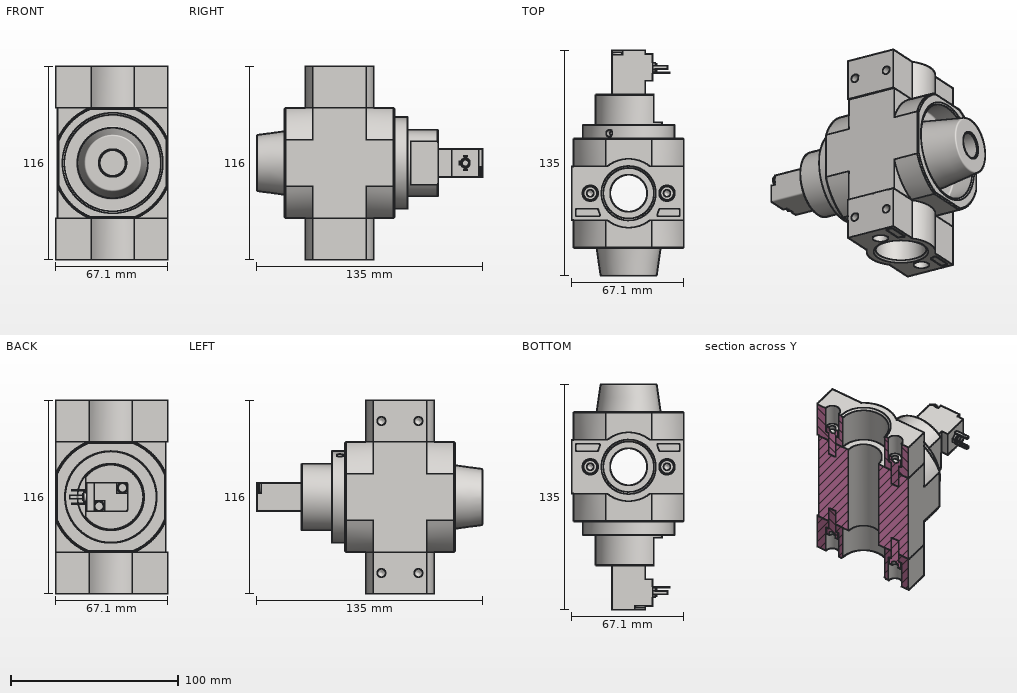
import cadquery as cq
import math

housing_side = 66.0
barrel_radius = 35.8
core_half_depth = 16.0
housing_chamfer = 0.8
passage_diameter = 22.0

front_bore_radius = 28.9
front_bore_floor_y = -18.9
front_bore_chamfer = 1.2
front_bore_chamfer_depth = 0.5
recess_fillet = 1.0
cone_front_y = -49.4
cone_front_radius = 16.9
cone_front_fillet = 1.0
cone_base_radius = 21.2
cone_hole_radius = 7.7
cone_hole_depth = 20.2
cone_hole_chamfer = 0.7

overall_length = 135.0
flange_width = 67.1
overall_height = 116.0
flange_boss_diameter = 41.2
port_diameter = 30.2
port_chamfer = 1.2

screw_x = 23.0
screw_head_diameter = 8.5
screw_head_height = 5.0
screw_head_chamfer = 0.3
screw_hole_diameter = 9.5
screw_hole_depth = 18.9
screw_shank_diameter = 5.0
screw_thread_depth = 10.8
screw_socket_diameter = 4.2
screw_socket_depth = 2.7

side_hole_diameter = 5.0
side_hole_depth = 8.1
side_hole_y = 11.1
side_hole_z = 45.5
drill_tip_angle = 118.0

label_inset = 2.3
label_height = 4.5
label_inner_x = 16.7
label_slant = 1.6
label_fillet = 0.8
label_depth = 0.3

ring_radius = 27.5
ring_thickness = 7.8
ring_chamfer = 0.3
ring_hole_diameter = 4.0
ring_hole_depth = 5.4
ring_hole_y = 35.9
ring_hole_angle = 25.0

base_radius = 20.0
base_length = 18.4
base_flat_x = 15.1
base_collar = 1.8
base_chamfer = 0.7

solenoid_half_width = 10.0
solenoid_half_height = 8.5
solenoid_edge_fillet = 1.0
plug_face_x = 14.3
plug_front_y = 67.2
plug_rear_y = 83.4
plug_boss_diameter = 5.5
plug_boss_length = 1.8
plug_nub_diameter = 4.0
plug_nub_length = 0.8
contact_width = 2.0
contact_thickness = 0.8
contact_z = 4.0
contact_tip_x = 23.4
earth_tip_x = 24.7
earth_y = 72.1
corner_screw_diameter = 6.0
corner_screw_height = 1.5
corner_screw_chamfer = 0.3
corner_notch_size = 6.3
corner_notch_depth = 2.5

housing_half = housing_side / 2
solenoid_rear_y = cone_front_y + overall_length
flange_right_x = housing_half
flange_left_x = flange_right_x - flange_width
flange_half_height = overall_height / 2
flange_thickness = flange_half_height - housing_half
ring_rear_y = housing_half + ring_thickness
base_rear_y = ring_rear_y + base_length
screw_seat_z = flange_half_height - screw_hole_depth
plug_center_y = (plug_front_y + plug_rear_y) / 2


def rod(radius, start, direction, length):
    """Round bar along any direction."""
    return cq.Workplane(cq.Solid.makeCylinder(radius, length, cq.Vector(*start), cq.Vector(*direction)))


def box(x_range, y_range, z_range):
    """Box between pairs of limits."""
    size = [high - low for low, high in (x_range, y_range, z_range)]
    corner = cq.Vector(x_range[0], y_range[0], z_range[0])
    return cq.Workplane(cq.Solid.makeBox(*size, corner))


def drill(diameter, depth, start, direction):
    """Blind hole with a conical tip."""
    radius = diameter / 2
    tip = radius / math.tan(math.radians(drill_tip_angle / 2))
    axis = cq.Vector(*direction).normalized()
    tip_start = cq.Vector(*start) + axis * depth
    point = cq.Workplane(cq.Solid.makeCone(radius, 0, tip, tip_start, axis))
    return rod(radius, start, direction, depth).union(point)


def turned_about_y(profile):
    """Revolve an XY outline, with X as the radius, about the Y axis."""
    return profile.close().revolve(360, (0, 0, 0), (0, 1, 0))


def housing_shell():
    side = housing_side
    barrel = rod(barrel_radius, (0, -housing_half, 0), (0, 1, 0), side)
    barrel = barrel.intersect(cq.Workplane().box(side, side, side))
    barrel = barrel.faces("<Y or >Y").chamfer(housing_chamfer)
    return barrel.union(cq.Workplane().box(side, 2 * core_half_depth, side))


def front_recess():
    """Space around the cone: chamfered mouth and filleted floor edge."""
    corner = recess_fillet * (1 - math.sqrt(0.5))
    outer = front_bore_radius
    floor = front_bore_floor_y
    mouth = -housing_half
    profile = (
        cq.Workplane()
        .moveTo(0, mouth)
        .lineTo(outer + front_bore_chamfer, mouth)
        .lineTo(outer, mouth + front_bore_chamfer_depth)
        .lineTo(outer, floor - recess_fillet)
        .threePointArc((outer - corner, floor - corner), (outer - recess_fillet, floor))
        .lineTo(0, floor)
    )
    return turned_about_y(profile)


def cone():
    floor = front_bore_floor_y
    profile = (
        cq.Workplane()
        .moveTo(0, floor)
        .lineTo(cone_base_radius, floor)
        .lineTo(cone_front_radius, cone_front_y)
        .lineTo(0, cone_front_y)
    )
    body = turned_about_y(profile).faces("<Y").edges().fillet(cone_front_fillet)
    hole = rod(cone_hole_radius, (0, cone_front_y, 0), (0, 1, 0), cone_hole_depth)
    hole_rim = cq.selectors.RadiusNthSelector(0)
    return body.cut(hole).faces("<Y").edges(hole_rim).chamfer(cone_hole_chamfer)


def cone_foot():
    """Concave fillet between the cone and the recess floor."""
    radius = cone_base_radius + recess_fillet
    corner = recess_fillet * (1 - math.sqrt(0.5))
    floor = front_bore_floor_y
    profile = (
        cq.Workplane()
        .moveTo(cone_hole_radius, floor)
        .lineTo(radius, floor)
        .threePointArc(
            (cone_base_radius + corner, floor - corner),
            (cone_base_radius, floor - recess_fillet),
        )
        .lineTo(cone_hole_radius, floor - recess_fillet)
    )
    return turned_about_y(profile)


def make_housing():
    body = housing_shell().cut(front_recess()).union(cone()).union(cone_foot())
    body = body.cut(rod(passage_diameter / 2, (0, 0, -housing_half), (0, 0, 1), housing_side))
    for side in (-1, 1):
        for x in (-screw_x, screw_x):
            start = (x, 0, side * housing_half)
            body = body.cut(rod(screw_shank_diameter / 2, start, (0, 0, -side), screw_thread_depth))
    return body


def label_recess(end_x):
    """Shallow label field beside one end of the flange, slanted on the port side."""
    side = math.copysign(1, end_x)
    outer_x = end_x - side * label_inset
    low_y = -core_half_depth + label_inset
    high_y = low_y + label_height
    outline = [
        (outer_x, low_y),
        (side * label_inner_x, low_y),
        (side * (label_inner_x + label_slant), high_y),
        (outer_x, high_y),
    ]
    field = cq.Workplane().workplane(offset=flange_half_height - label_depth)
    field = field.polyline(outline).close().extrude(label_depth)
    return field.edges("|Z").fillet(label_fillet)


def make_flange():
    """Upper flange, resting on the top of the housing."""
    up = (0, 0, 1)
    body = box(
        (flange_left_x, flange_right_x),
        (-core_half_depth, core_half_depth),
        (housing_half, flange_half_height),
    )
    body = body.union(rod(flange_boss_diameter / 2, (0, 0, housing_half), up, flange_thickness))
    body = body.cut(rod(port_diameter / 2, (0, 0, housing_half), up, flange_thickness))
    port_rim = cq.selectors.RadiusNthSelector(0)
    body = body.faces(">Z").edges(port_rim).chamfer(port_chamfer)
    for x in (-screw_x, screw_x):
        body = body.cut(rod(screw_hole_diameter / 2, (x, 0, screw_seat_z), up, screw_hole_depth))
        body = body.cut(rod(screw_shank_diameter / 2, (x, 0, housing_half), up, flange_thickness))
    for y in (-side_hole_y, side_hole_y):
        start = (flange_left_x, y, side_hole_z)
        body = body.cut(drill(side_hole_diameter, side_hole_depth, start, (1, 0, 0)))
    for end_x in (flange_left_x, flange_right_x):
        body = body.cut(label_recess(end_x))
    return body


def make_flange_screw(x):
    """Socket head screw of the upper flange."""
    up = (0, 0, 1)
    shank_start_z = housing_half - screw_thread_depth
    head = rod(screw_head_diameter / 2, (x, 0, screw_seat_z), up, screw_head_height)
    head = head.faces(">Z").chamfer(screw_head_chamfer)
    shank = rod(screw_shank_diameter / 2, (x, 0, shank_start_z), up, screw_seat_z - shank_start_z)
    socket_start = (x, 0, screw_seat_z + screw_head_height)
    return head.union(shank).cut(drill(screw_socket_diameter, screw_socket_depth, socket_start, (0, 0, -1)))


def make_ring():
    body = rod(ring_radius, (0, housing_half, 0), (0, 1, 0), ring_thickness)
    body = body.faces(">Y").chamfer(ring_chamfer)
    angle = math.radians(ring_hole_angle)
    outward = cq.Vector(-math.sin(angle), 0, math.cos(angle))
    start = outward * ring_radius + cq.Vector(0, ring_hole_y, 0)
    return body.cut(drill(ring_hole_diameter, ring_hole_depth, start.toTuple(), (-outward).toTuple()))


def make_solenoid_base():
    body = rod(base_radius, (0, ring_rear_y, 0), (0, 1, 0), base_length)
    body = body.faces(">Y").chamfer(base_chamfer)
    flat = box(
        (base_flat_x, base_radius),
        (ring_rear_y + base_collar, base_rear_y),
        (-base_radius, base_radius),
    )
    return body.cut(flat)


def plug():
    """Connector face with its boss, two flat contacts and the crosswise earth contact."""
    body = box(
        (solenoid_half_width, plug_face_x),
        (plug_front_y, plug_rear_y),
        (-solenoid_half_height, solenoid_half_height),
    )
    outward = (1, 0, 0)
    boss_length = plug_boss_length + plug_nub_length
    boss = rod(plug_boss_diameter / 2, (plug_face_x, plug_center_y, 0), outward, plug_boss_length)
    nub = rod(plug_nub_diameter / 2, (plug_face_x, plug_center_y, 0), outward, boss_length)
    body = body.union(boss).union(nub)
    half_width = contact_width / 2
    half_thickness = contact_thickness / 2
    for z in (-contact_z, contact_z):
        contact = box(
            (plug_face_x, contact_tip_x),
            (plug_center_y - half_width, plug_center_y + half_width),
            (z - half_thickness, z + half_thickness),
        )
        body = body.union(contact)
    earth = box(
        (plug_face_x, earth_tip_x),
        (earth_y - half_thickness, earth_y + half_thickness),
        (-half_width, half_width),
    )
    return body.union(earth)


def corner_notch(side):
    """Square notch in a rear corner: the upper -X corner for side -1, the lower +X corner for side 1."""
    size = corner_notch_size
    x_limits = sorted((side * solenoid_half_width, side * (solenoid_half_width - size)))
    z_limits = sorted((-side * solenoid_half_height, -side * (solenoid_half_height - size)))
    return box(x_limits, (solenoid_rear_y - corner_notch_depth, solenoid_rear_y), z_limits)


def corner_screw_head(side):
    radius = corner_screw_diameter / 2
    start = (
        side * (solenoid_half_width - radius),
        solenoid_rear_y - corner_notch_depth,
        -side * (solenoid_half_height - radius),
    )
    return rod(radius, start, (0, 1, 0), corner_screw_height).faces(">Y").chamfer(corner_screw_chamfer)


def make_solenoid():
    body = box(
        (-solenoid_half_width, solenoid_half_width),
        (base_rear_y, solenoid_rear_y),
        (-solenoid_half_height, solenoid_half_height),
    )
    body = body.edges("|Y and <X").fillet(solenoid_edge_fillet)
    body = body.union(plug())
    for side in (-1, 1):
        body = body.cut(corner_notch(side)).union(corner_screw_head(side))
    return body


housing = make_housing()
upper_flange = make_flange()
lower_flange = upper_flange.mirror("XY")
upper_screws = [make_flange_screw(x) for x in (-screw_x, screw_x)]
lower_screws = [screw.mirror("XY") for screw in upper_screws]
flange_screws = upper_screws + lower_screws
ring = make_ring()
solenoid_base = make_solenoid_base()
solenoid = make_solenoid()

result = cq.Compound.makeCompound([
    housing.val(),
    upper_flange.val(),
    lower_flange.val(),
    *[screw.val() for screw in flange_screws],
    ring.val(),
    solenoid_base.val(),
    solenoid.val(),
])